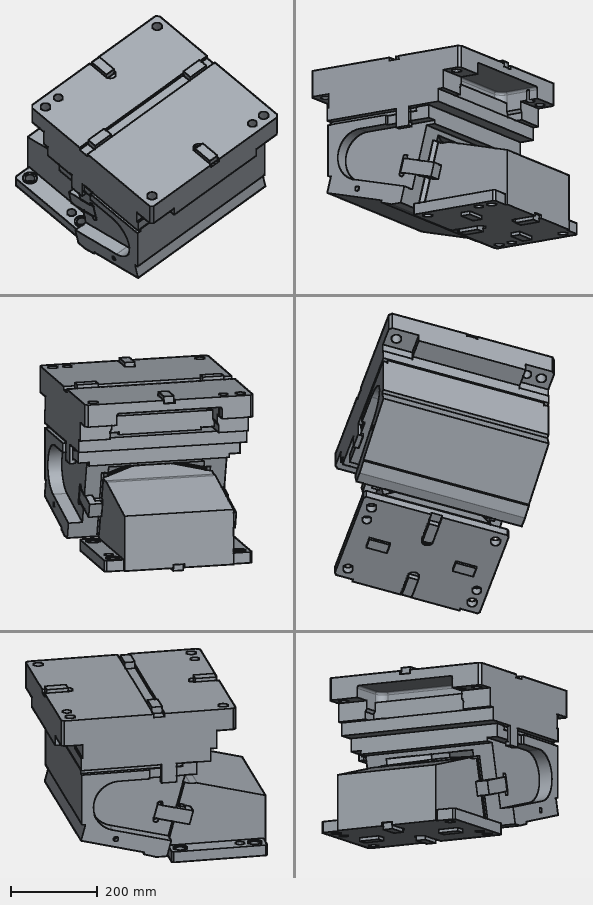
import cadquery as cq
import math


half_width = 200.0
tilt = 15.0
flank_angle = 30.0
cos_tilt = math.cos(math.radians(tilt))
sin_tilt = math.sin(math.radians(tilt))
cos_flank = math.cos(math.radians(flank_angle))
sin_flank = math.sin(math.radians(flank_angle))
tan_flank = math.tan(math.radians(flank_angle))

key_length = 50.0
key_width = 24.0
key_slot_width = 26.0
key_rise = 8.0
key_slot_depth = 8.0

base_length = 230.0
base_half_width = 129.5
base_rear_height = 130.0
base_shelf_start = 161.5
base_shelf_end = 177.5
base_shelf_height = 173.5
nose_root = 230.0
nose_bottom = -33.5
nose_tip_half_width = 46.0
foot_start = 5.5
foot_half_width = 175.0
foot_thickness = 25.5
foot_chamfer = 4.5
foot_bolt_edge = 24.8
foot_bolt_y = 150.0
foot_bolt_radius = 11.5
foot_bore_radius = 16.5
foot_bore_depth = 2.5
foot_dowel_spacing = 34.5
foot_dowel_radius = 10.5
foot_cross_key_x = 115.0
foot_long_key_starts = (5.5, 159.5)
foot_cross_key_y = 104.5

bracket_front = 447.5
bracket_top = 250.0
bracket_rear = 175.0
bracket_lip_bottom = 211.0
bracket_face = 245.5
bracket_bottom = 25.5
bracket_bottom_end = 272.2
step_x = 301.0
step_low = 34.5
step_high = 39.5
toe_x = 449.5
toe_z = 79.5
toe_height = 39.5
notch_z = 120.0
recess_floor_y = 167.0
recess_top = 219.5
recess_radius = 60.5
recess_center_x = 360.0
side_hole_x = 367.5
side_hole_z = 77.5
side_hole_radius = 5.5
side_hole_depth = 15.0
flange_half_width = 192.5
flange_end = 288.0
ledge_start = 209.0
ledge_z = 241.0
ledge_half_width = 189.0

socket_end_half_width = 24.0
socket_top = 125.5
window_half_width = 114.0
window_top = 140.5
liner_start = 238.0
liner_end_y = 32.5
liner_thickness = (bracket_face - nose_root) * cos_flank
hook_start = 203.0
hook_length = 86.5
hook_bottom = 35.5
hook_top = 69.5
hook_outer_y = 165.5
hook_inner_y = 134.5
hook_leg = 15.5
lug_half_width = 148.0
hook_clearance = 1.0
relief_radius = 6.0
relief_offset = 3.0

plate_start = 84.5
plate_end = 495.0
plate_top = 377.0
plate_chamfer = 6.5
plate_rear_bottom = 325.0
plate_front_bottom = 315.5
upper_step_x = 130.0
upper_step_z = 282.0
lower_step_x = 144.0
carriage_bottom = 252.0
upper_front = 445.5
lower_front = 449.5
channel_center = 265.5
plate_key_inset = 5.5
plate_cross_key_y = 149.5
plate_bolt_radius = 11.5
plate_bolt_y = 175.0
plate_bolt_inset = 25.0
plate_dowel_radius = 10.5
front_dowel_y = 140.0
rear_dowel_y = -135.0
front_block_bottom = 292.0
front_block_half_width = 129.0
pocket_half_width = 125.0
pocket_foot_half_width = 129.0
pocket_jog_low = 299.5
pocket_jog_high = 307.0
pocket_shelf = 326.5
pocket_top = 353.0
pocket_lower_back = 168.5
pocket_corner = 21.5
pocket_edge = 6.0
foot_slot_inner_y = 97.5
foot_slot_height = 6.0
arm_start = 224.5
arm_end = 260.0
arm_bottom = 207.0
arm_lip_top = 216.0
arm_lip_y = 187.0


def block(x0, x1, y0, y1, z0, z1):
    """Box between two opposite corners."""
    return cq.Workplane("XY").box(x1 - x0, y1 - y0, z1 - z0, centered=False).translate((x0, y0, z0))


def tilted_point(along, across):
    """X and Z of a point given along and across the tilted axis."""
    return (along * cos_tilt - across * sin_tilt, along * sin_tilt + across * cos_tilt)


def on_tilt_line(along, z):
    """X where the line square to the tilted axis reaches height z."""
    return (along - z * sin_tilt) / cos_tilt


def tilted_prism(points, bottom, top):
    """Plan outline in (along the tilted axis, Y), extruded across that axis."""
    x, z = tilted_point(0, bottom)
    plane = cq.Plane((x, 0, z), (cos_tilt, 0, sin_tilt), (-sin_tilt, 0, cos_tilt))
    return cq.Workplane(plane).polyline(points).close().extrude(top - bottom)


def tilted_block(start, end, y0, y1, bottom, top):
    """Box lined up with the tilted axis."""
    return tilted_prism([(start, y0), (end, y0), (end, y1), (start, y1)], bottom, top)


def side_prism(points, y0, y1):
    """Outline in X and Z extruded from y0 to y1."""
    return cq.Workplane("XZ", origin=(0, y1, 0)).polyline(points).close().extrude(y1 - y0)


def both_sides(shape):
    """Shape together with its mirror image across Y = 0."""
    return shape.union(shape.mirror("XZ"))


def long_key(x, z_seat, facing):
    """Key along X starting at x, seated at z_seat and rising up (+1) or down (-1)."""
    height = key_slot_depth + key_rise
    key = cq.Workplane("XY").box(key_length, key_width, height, centered=(False, True, False))
    if facing < 0:
        key = key.mirror("XY")
    return key.translate((x, 0, z_seat))


def cross_key(x, y, z_seat, facing):
    """Key along Y centred on (x, y)."""
    key = long_key(-key_length / 2, 0, facing).rotate((0, 0, 0), (0, 0, 1), 90)
    return key.translate((x, y, z_seat))


def key_slot(edge_x, end_x, z0, z1):
    """Slot from an outer edge to the centre of its rounded end."""
    radius = key_slot_width / 2
    straight = block(min(edge_x, end_x), max(edge_x, end_x), -radius, radius, z0, z1)
    rounded = cq.Workplane("XY", origin=(end_x, 0, z0)).circle(radius).extrude(z1 - z0)
    return straight.union(rounded)


def make_base():
    nose_top = (base_shelf_height - base_shelf_end * math.tan(math.radians(tilt))) * cos_tilt
    outline = [
        (0, 0),
        (0, base_rear_height),
        (base_shelf_start, base_shelf_height),
        (base_shelf_end, base_shelf_height),
        tilted_point(nose_root, nose_top),
        tilted_point(nose_root, nose_bottom),
        (base_length, foot_thickness),
        (base_length, 0),
    ]
    base = side_prism(outline, -base_half_width, base_half_width)

    nose_tip = nose_root + (base_half_width - nose_tip_half_width) * tan_flank
    nose = tilted_prism(
        [
            (nose_root, -base_half_width),
            (nose_tip, -nose_tip_half_width),
            (nose_tip, nose_tip_half_width),
            (nose_root, base_half_width),
        ],
        nose_bottom,
        nose_top,
    )
    lug = tilted_block(
        hook_start + hook_leg, nose_root, base_half_width, lug_half_width, hook_bottom, hook_top
    )
    foot = block(foot_start, base_length, -foot_half_width, foot_half_width, 0, foot_thickness)
    foot = foot.edges("|Z").chamfer(foot_chamfer)
    base = base.union(nose).union(both_sides(lug)).union(foot)

    rear_bolt_x = foot_start + foot_bolt_edge
    front_bolt_x = base_length - foot_bolt_edge
    bolts = [(x, y) for x in (rear_bolt_x, front_bolt_x) for y in (-foot_bolt_y, foot_bolt_y)]
    dowels = [
        (rear_bolt_x + foot_dowel_spacing, foot_bolt_y),
        (front_bolt_x - foot_dowel_spacing, -foot_bolt_y),
    ]
    foot_top = cq.Workplane("XY", origin=(0, 0, foot_thickness))
    base = base.cut(foot_top.pushPoints(bolts).circle(foot_bolt_radius).extrude(-foot_thickness))
    base = base.cut(foot_top.pushPoints(bolts).circle(foot_bore_radius).extrude(-foot_bore_depth))
    base = base.cut(foot_top.pushPoints(dowels).circle(foot_dowel_radius).extrude(-foot_thickness))

    rear_key_x, front_key_x = foot_long_key_starts
    base = base.cut(key_slot(0, rear_key_x + key_length, 0, key_slot_depth))
    base = base.cut(key_slot(base_length, front_key_x, 0, key_slot_depth))
    for x in foot_long_key_starts:
        base = base.union(long_key(x, key_slot_depth, -1))
    for y in (-foot_cross_key_y, foot_cross_key_y):
        base = base.union(cross_key(foot_cross_key_x, y, key_slot_depth, -1))
    return base


def make_bracket():
    outline = [
        (bracket_rear, bracket_top),
        (bracket_rear, bracket_lip_bottom),
        (on_tilt_line(bracket_face, bracket_lip_bottom), bracket_lip_bottom),
        (on_tilt_line(bracket_face, bracket_bottom), bracket_bottom),
        (bracket_bottom_end, bracket_bottom),
        (step_x, step_low),
        (step_x, step_high),
        (toe_x, toe_z),
        (toe_x - toe_height * sin_tilt, toe_z + toe_height * cos_tilt),
        (bracket_front, notch_z),
        (bracket_front, bracket_top),
    ]
    bracket = side_prism(outline, -half_width, half_width)

    flange_cut = block(
        bracket_rear, flange_end, flange_half_width, half_width, recess_top, bracket_top
    )
    ledge_cut = block(ledge_start, bracket_front, ledge_half_width, half_width, ledge_z, bracket_top)
    side_hole = cq.Workplane("XZ", origin=(side_hole_x, half_width, side_hole_z))
    side_hole = side_hole.circle(side_hole_radius).extrude(side_hole_depth)
    side_cuts = side_recess().union(flange_cut).union(ledge_cut).union(side_hole)
    bracket = bracket.cut(both_sides(side_cuts)).cut(socket())
    bracket = bracket.union(both_sides(liner()))
    bracket = bracket.cut(both_sides(latch_pocket()))
    return bracket.union(both_sides(latch_hook()))


def side_recess():
    """Round-ended recess open to the rear, between a level ceiling and a tilted floor."""
    center_z = recess_top - recess_radius
    low_end = (recess_center_x + recess_radius * sin_tilt, center_z - recess_radius * cos_tilt)
    middle = math.radians(tilt / 2)
    middle_point = (
        recess_center_x + recess_radius * math.cos(middle),
        center_z + recess_radius * math.sin(middle),
    )
    run = low_end[0] - bracket_rear
    return (
        cq.Workplane("XZ", origin=(0, half_width, 0))
        .moveTo(bracket_rear, recess_top)
        .lineTo(recess_center_x, recess_top)
        .threePointArc(middle_point, low_end)
        .lineTo(bracket_rear, low_end[1] - run * math.tan(math.radians(tilt)))
        .close()
        .extrude(half_width - recess_floor_y)
    )


def vee_cavity(mouth_half_width, bottom, top):
    """Cavity from the bracket's rear face, with two flanks closing in to a narrow flat end."""
    end = bracket_face + (mouth_half_width - socket_end_half_width) * tan_flank
    outline = [
        (bracket_face, -mouth_half_width),
        (end, -socket_end_half_width),
        (end, socket_end_half_width),
        (bracket_face, mouth_half_width),
    ]
    return tilted_prism(outline, bottom, top)


def socket():
    """Cavity as wide as the base's nose, with a narrower window above it."""
    cavity = vee_cavity(base_half_width, nose_bottom, socket_top)
    return cavity.union(vee_cavity(window_half_width, socket_top, window_top))


def liner():
    """Strip along one socket flank, bearing on the flank of the nose."""
    front_y = base_half_width - (liner_start - nose_root) / tan_flank
    end_along = nose_root + (base_half_width - liner_end_y) * tan_flank
    back_along = liner_thickness * cos_flank
    back_y = liner_thickness * sin_flank
    return tilted_prism(
        [
            (liner_start, front_y),
            (end_along, liner_end_y),
            (end_along + back_along, liner_end_y + back_y),
            (liner_start + back_along, front_y + back_y),
        ],
        nose_bottom,
        socket_top,
    )


def latch_pocket():
    """Pocket behind the latch arm, with round corner reliefs."""
    end = hook_start + hook_length + hook_clearance
    pocket = tilted_block(
        bracket_face, end, lug_half_width, recess_floor_y, hook_bottom, hook_top
    )
    for across in (hook_bottom - relief_offset, hook_top + relief_offset):
        x, z = tilted_point(end - relief_radius, across)
        relief = cq.Workplane("XZ", origin=(x, recess_floor_y, z)).circle(relief_radius)
        pocket = pocket.union(relief.extrude(recess_floor_y - lug_half_width))
    return pocket


def latch_hook():
    """Arm from the bracket with an inward leg behind the base's lug."""
    leg_end = hook_start + hook_leg
    end = hook_start + hook_length
    outline = [
        (hook_start, hook_inner_y),
        (leg_end, hook_inner_y),
        (leg_end, lug_half_width),
        (end, lug_half_width),
        (end, hook_outer_y),
        (hook_start, hook_outer_y),
    ]
    return tilted_prism(outline, hook_bottom, hook_top)


def make_top_plate():
    plate = block(plate_start, plate_end, -half_width, half_width, plate_front_bottom, plate_top)
    plate = plate.edges("|Z").chamfer(plate_chamfer)
    plate = plate.cut(
        block(plate_start, upper_step_x, -half_width, half_width, plate_front_bottom, plate_rear_bottom)
    )
    upper = block(
        upper_step_x, upper_front, -half_width, half_width, upper_step_z, plate_front_bottom
    )
    lower = block(
        lower_step_x, lower_front, -half_width, half_width, carriage_bottom, upper_step_z
    )
    front_block = side_prism(
        [
            (upper_front, upper_step_z),
            (lower_front, upper_step_z),
            (lower_front, front_block_bottom),
            (plate_end, front_block_bottom),
            (plate_end, plate_front_bottom),
            (upper_front, plate_front_bottom),
        ],
        -front_block_half_width,
        front_block_half_width,
    )
    plate = plate.union(upper).union(lower).union(front_block)
    plate = plate.cut(rear_pocket()).cut(plate_holes())
    return add_plate_keys(plate).union(both_sides(hanging_arm()))


def rear_pocket():
    """Pocket in the rear face: a flared lower part, a deeper upper part and foot slots."""
    half = [
        (pocket_foot_half_width, upper_step_z),
        (pocket_foot_half_width, pocket_jog_low),
        (pocket_half_width, pocket_jog_high),
        (pocket_half_width, pocket_shelf),
    ]
    outline = half + [(-y, z) for y, z in reversed(half)]
    lower = cq.Workplane("YZ", origin=(plate_start, 0, 0)).polyline(outline).close()
    lower = lower.extrude(pocket_lower_back - plate_start)
    upper = block(
        plate_start,
        pocket_lower_back + pocket_corner,
        -pocket_half_width,
        pocket_half_width,
        pocket_shelf,
        pocket_top,
    )
    upper = upper.edges("|Z and >X").fillet(pocket_corner)
    upper = upper.faces(">Z").edges("not <X").fillet(pocket_edge)
    foot_slot = block(
        plate_start,
        pocket_lower_back + pocket_corner,
        foot_slot_inner_y,
        pocket_foot_half_width,
        upper_step_z,
        upper_step_z + foot_slot_height,
    )
    return lower.union(upper).union(both_sides(foot_slot))


def plate_holes():
    """Four bolt holes and two dowel holes through the plate's overhangs."""
    rear_x = plate_start + plate_bolt_inset
    front_x = plate_end - plate_bolt_inset
    bolts = [(x, y) for x in (rear_x, front_x) for y in (-plate_bolt_y, plate_bolt_y)]
    dowels = [(rear_x, rear_dowel_y), (front_x, front_dowel_y)]
    depth = plate_top - plate_front_bottom
    top = cq.Workplane("XY", origin=(0, 0, plate_top))
    holes = top.pushPoints(bolts).circle(plate_bolt_radius).extrude(-depth)
    return holes.union(top.pushPoints(dowels).circle(plate_dowel_radius).extrude(-depth))


def add_plate_keys(plate):
    """Cross channel, two end slots and four keys on the plate's top."""
    seat = plate_top - key_slot_depth
    rear_key_x = plate_start + plate_key_inset
    front_key_x = plate_end - plate_key_inset - key_length
    channel = block(
        channel_center - key_slot_width / 2,
        channel_center + key_slot_width / 2,
        -half_width,
        half_width,
        seat,
        plate_top,
    )
    plate = plate.cut(channel)
    plate = plate.cut(key_slot(plate_start, rear_key_x + key_length, seat, plate_top))
    plate = plate.cut(key_slot(plate_end, front_key_x, seat, plate_top))
    for x in (rear_key_x, front_key_x):
        plate = plate.union(long_key(x, seat, 1))
    for y in (-plate_cross_key_y, plate_cross_key_y):
        plate = plate.union(cross_key(channel_center, y, seat, 1))
    return plate


def hanging_arm():
    """Arm beside the bracket's flange with a lip turned in under it."""
    arm = block(arm_start, arm_end, flange_half_width, half_width, arm_bottom, carriage_bottom)
    return arm.union(block(arm_start, arm_end, arm_lip_y, half_width, arm_bottom, arm_lip_top))


base = make_base()
bracket = make_bracket()
top_plate = make_top_plate()

result = cq.Compound.makeCompound([body.solids().val() for body in (base, bracket, top_plate)])